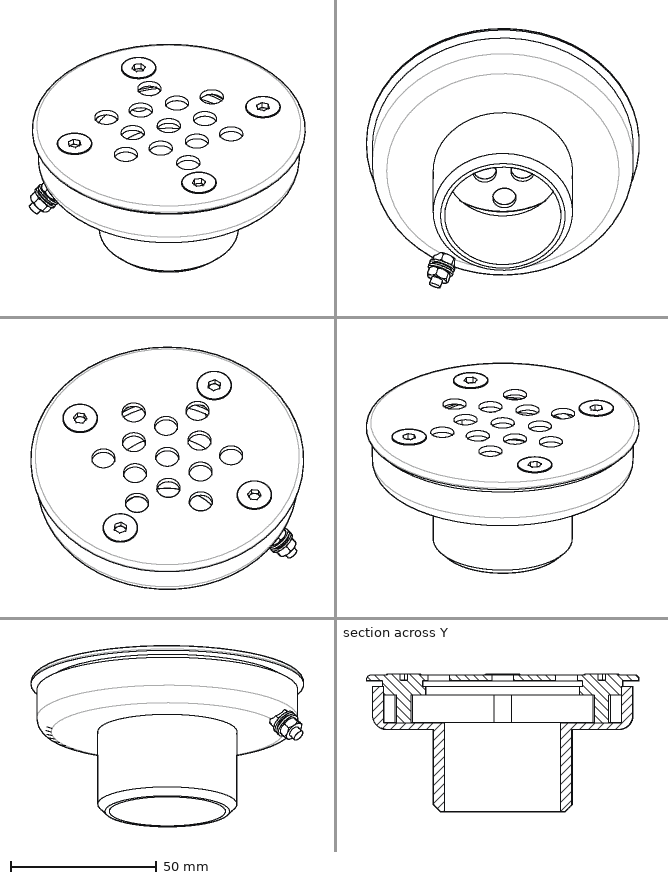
import cadquery as cq
import math

PIPE_DIAMETER = 48.0
PIPE_BORE = 40.0
PIPE_CHAMFER = 2.5
CUP_DIAMETER = 90.0
CUP_BORE = 82.0
CUP_BOTTOM_Z = 28.3
CUP_HEIGHT = 14.9
FLOOR_THICKNESS = 2.4
CUP_FILLET = 5.0
CUP_TOP_Z = CUP_BOTTOM_Z + CUP_HEIGHT
FLOOR_Z = CUP_BOTTOM_Z + FLOOR_THICKNESS

TERMINAL_TILT = 45
TERMINAL_REACH = 50.3
TERMINAL_END_Z = 22.1
STUD_DIAMETER = 4.0
STUD_TIP = 2.4
NUT_WIDTH = 7.0
NUT_HEIGHT = 3.1
WASHER_DIAMETER = 9.0
WASHER_THICKNESS = 0.8
SPACER_DIAMETER = NUT_WIDTH
SPACER_THICKNESS = 0.9

PLATE_DIAMETER = 94.0
PLATE_THICKNESS = 2.0
PLATE_FILLET = 1.6
NECK_DIAMETER = 83.0
NECK_BORE = 55.0
NECK_HEIGHT = 1.9
CLAMP_BORE = 53.0
CLAMP_HEIGHT = 3.0
PLATE_BOTTOM_Z = CUP_TOP_Z + NECK_HEIGHT
PLATE_TOP_Z = PLATE_BOTTOM_Z + PLATE_THICKNESS

DRAIN_HOLE_DIAMETER = 8.0
INNER_HOLES_RADIUS = 13.0
INNER_HOLES_START = 30
OUTER_HOLES_RADIUS = 22.0
OUTER_HOLES_START = 0
HOLES_PER_RING = 6

SCREW_COUNT = 4
SCREW_CIRCLE_RADIUS = 34.1
SCREW_HEAD_DIAMETER = 12.0
SCREW_HEAD_CHAMFER = 0.2
SCREW_HEAD_RISE = 0.3
SCREW_SHANK_DIAMETER = 6.0
SOCKET_WIDTH = 4.0
SOCKET_DEPTH = 2.0
SOCKET_POINT_DEPTH = 1.2
SOCKET_TWIST = -8
SCREW_TOP_Z = PLATE_TOP_Z + SCREW_HEAD_RISE


def disc(diameter, bottom_z, height):
    """Upright cylinder centred on the Z axis."""
    return cq.Workplane("XY").workplane(offset=bottom_z).circle(diameter / 2).extrude(height)


def ring(diameter, bore, bottom_z, height):
    """Upright tube centred on the Z axis."""
    return disc(diameter, bottom_z, height).cut(disc(bore, bottom_z, height))


def cone(diameter, height):
    """Cone with its base on the XY plane and its point below."""
    return cq.Workplane("XZ").polyline([(0, 0), (diameter / 2, 0), (0, -height)]).close().revolve()


def hexagon(width, height):
    """Hexagonal prism standing on the XY plane, with two corners on the X axis."""
    return cq.Workplane("XY").polygon(6, width / math.cos(math.pi / 6)).extrude(height)


def nut():
    """Hexagonal nut whose corners are rounded off by 45 degree cones at both ends."""
    corner_radius = NUT_WIDTH / math.cos(math.pi / 6) / 2
    drop = corner_radius - NUT_WIDTH / 2
    turned_outline = [
        (0, 0),
        (NUT_WIDTH / 2, 0),
        (corner_radius, drop),
        (corner_radius, NUT_HEIGHT - drop),
        (NUT_WIDTH / 2, NUT_HEIGHT),
        (0, NUT_HEIGHT),
    ]
    turned = cq.Workplane("XZ").polyline(turned_outline).close().revolve()
    return hexagon(NUT_WIDTH, NUT_HEIGHT).intersect(turned)


def terminal():
    """Ground terminal, stacked upward from the stud tip and then tilted into place."""
    outer_nut_z = STUD_TIP
    outer_washer_z = outer_nut_z + NUT_HEIGHT
    spacer_z = outer_washer_z + WASHER_THICKNESS
    inner_washer_z = spacer_z + SPACER_THICKNESS
    inner_nut_z = inner_washer_z + WASHER_THICKNESS

    stack = disc(STUD_DIAMETER, 0, inner_nut_z)
    stack = stack.union(nut().translate((0, 0, outer_nut_z)))
    stack = stack.union(disc(WASHER_DIAMETER, outer_washer_z, WASHER_THICKNESS))
    stack = stack.union(disc(SPACER_DIAMETER, spacer_z, SPACER_THICKNESS))
    stack = stack.union(disc(WASHER_DIAMETER, inner_washer_z, WASHER_THICKNESS))
    stack = stack.union(nut().translate((0, 0, inner_nut_z)))

    tip_y = -TERMINAL_REACH + STUD_DIAMETER / 2 * math.cos(math.radians(TERMINAL_TILT))
    stack = stack.rotate((0, 0, 0), (1, 0, 0), -TERMINAL_TILT)
    return stack.translate((0, tip_y, TERMINAL_END_Z))


def make_housing():
    """Cup, drain pipe and ground terminal in one solid."""
    pipe = disc(PIPE_DIAMETER, 0, FLOOR_Z).faces("<Z").chamfer(PIPE_CHAMFER)
    cup = disc(CUP_DIAMETER, CUP_BOTTOM_Z, CUP_HEIGHT).faces("<Z").edges().fillet(CUP_FILLET)
    body = cup.cut(disc(CUP_BORE, FLOOR_Z, CUP_HEIGHT))
    body = body.union(pipe).cut(disc(PIPE_BORE, 0, FLOOR_Z))
    return body.union(terminal())


def screw():
    """Screw on the Z axis, without its socket, down to the cup floor."""
    head = disc(SCREW_HEAD_DIAMETER, PLATE_BOTTOM_Z, SCREW_TOP_Z - PLATE_BOTTOM_Z)
    head = head.faces(">Z").chamfer(SCREW_HEAD_CHAMFER)
    shank = disc(SCREW_SHANK_DIAMETER, FLOOR_Z, SCREW_TOP_Z - FLOOR_Z)
    return head.union(shank)


def socket():
    """Hexagonal recess in a screw head, ending in a drill point."""
    recess = hexagon(SOCKET_WIDTH, SOCKET_DEPTH).translate((0, 0, -SOCKET_DEPTH))
    recess = recess.union(cone(SOCKET_WIDTH, SOCKET_POINT_DEPTH).translate((0, 0, -SOCKET_DEPTH)))
    return recess.rotate((0, 0, 0), (0, 0, 1), 90 + SOCKET_TWIST).translate((0, 0, SCREW_TOP_Z))


def cut_drain_holes(plate):
    """One central hole and two rings of holes through the plate."""
    holes = cq.Workplane("XY").workplane(offset=PLATE_BOTTOM_Z)
    radius = DRAIN_HOLE_DIAMETER / 2
    plate = plate.cut(holes.circle(radius).extrude(PLATE_THICKNESS))
    for ring_radius, start in (
        (INNER_HOLES_RADIUS, INNER_HOLES_START),
        (OUTER_HOLES_RADIUS, OUTER_HOLES_START),
    ):
        pattern = holes.polarArray(ring_radius, start, 360, HOLES_PER_RING)
        plate = plate.cut(pattern.circle(radius).extrude(PLATE_THICKNESS))
    return plate


def make_cover():
    """Perforated plate, neck, clamping ring and screws in one solid."""
    plate = disc(PLATE_DIAMETER, PLATE_BOTTOM_Z, PLATE_THICKNESS).faces(">Z").edges().fillet(PLATE_FILLET)
    plate = cut_drain_holes(plate)
    neck = ring(NECK_DIAMETER, NECK_BORE, CUP_TOP_Z, NECK_HEIGHT)
    clamp = ring(CUP_BORE, CLAMP_BORE, CUP_TOP_Z - CLAMP_HEIGHT, CLAMP_HEIGHT)
    body = plate.union(neck).union(clamp)
    on_screw_circle = (SCREW_CIRCLE_RADIUS, 0, 0)
    for i in range(SCREW_COUNT):
        angle = 360 / SCREW_COUNT * i
        body = body.union(screw().translate(on_screw_circle).rotate((0, 0, 0), (0, 0, 1), angle))
        body = body.cut(socket().translate(on_screw_circle).rotate((0, 0, 0), (0, 0, 1), angle))
    return body


housing = make_housing()
cover = make_cover()

result = cq.Compound.makeCompound([housing.val(), cover.val()])